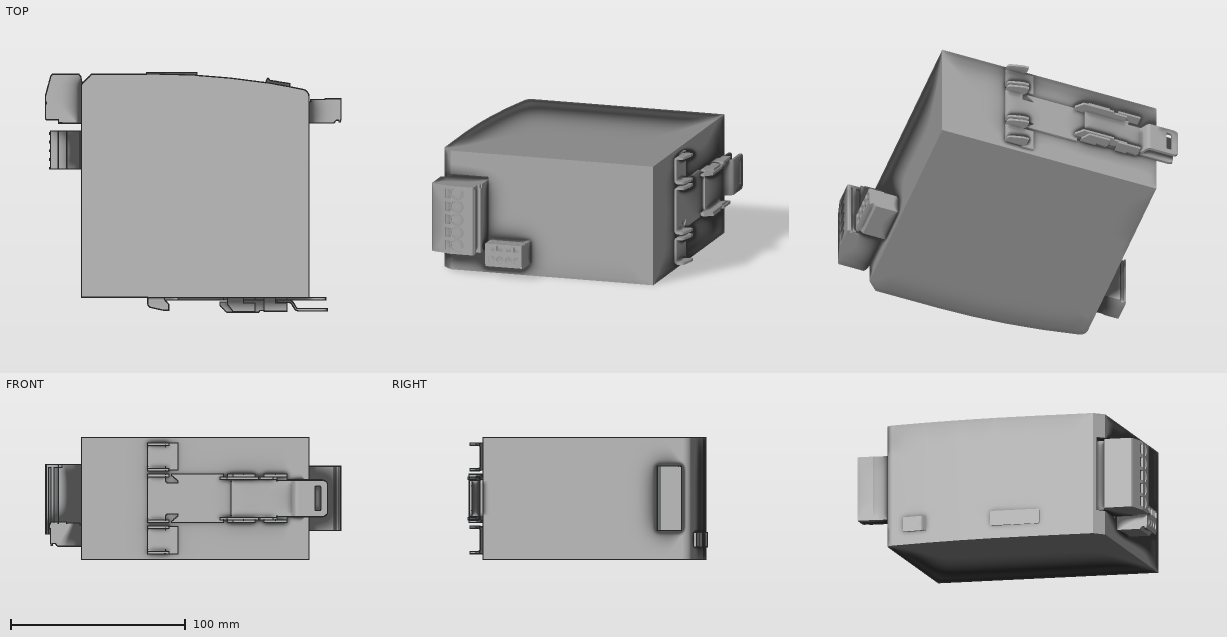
import cadquery as cq
import math


OVERALL_LENGTH = 169.32
OVERALL_DEPTH = 137.4

HOUSING_LENGTH = 130.4
HOUSING_DEPTH = 127.8
HOUSING_HEIGHT = 70.0
MID_HEIGHT = HOUSING_HEIGHT / 2
CORNER_CHAMFER = 5.8
CROWN_START_X = 43.0
CROWN_RADIUS = 410.0
CROWN_CORNER_RADIUS = 4.5
OVERLAP = 0.5

POWER_POLES = 5
POWER_PITCH = 7.62
POWER_REACH = 20.6
POWER_HEIGHT = 40.0
POWER_BOTTOM = 14.5
POWER_FRONT_Y = HOUSING_DEPTH
POWER_REAR_Y = 99.6
POWER_STEP_X = -13.2
POWER_STEP_Y = 101.6
POWER_SLOPE_START_Y = 115.4
POWER_HOLE_DIAMETER = 7.5
POWER_HOLE_Y = 111.2
POWER_HOLE_DEPTH = 0.6
POWER_SLOT_HEIGHT = 5.5
POWER_SLOT_LENGTH = 3.5
POWER_SLOT_DEPTH = 1.3
POWER_SLOT_DROP = 0.4
POWER_END_PLATE = 1.9
POWER_GROOVE_DEPTH = 1.3
POWER_GROOVES = ((-18.7, -17.5), (-15.6, POWER_STEP_X))
POWER_LIP_CHAMFER = (0.6, 0.7)
POWER_KEY_LENGTH = 2.2
POWER_KEY_DEPTH = 0.6

OPENING_FRONT_Y = 126.0
OPENING_REAR_Y = 99.2
OPENING_HEIGHT = 42.6
OPENING_DEPTH = 5.0

PLUG_REACH = 17.7
PLUG_THICKNESS = 14.0
PLUG_PITCH = 5.0
PLUG_SIDE = 1.0
SIGNAL_POLES = 4
SIGNAL_BOTTOM = 7.5
SIGNAL_REAR_Y = 73.4
SIGNAL_POLE_SIDE = 0.5
SIGNAL_HOLE_DIAMETER = 4.2
SIGNAL_HOLE_HEIGHT = 5.0
SIGNAL_HOLE_DEPTH = 0.5
SIGNAL_SLOT_WIDTH = 3.0
SIGNAL_SLOT_BOTTOM = 10.0
SIGNAL_SLOT_HEIGHT = 3.0
SIGNAL_SLOT_DEPTH = 0.5
SIGNAL_RIB_WIDTH = 1.0
SIGNAL_RIB_REACH = 0.4
SIGNAL_GROOVES = (8.2, 13.0)
SIGNAL_GROOVE_WIDTH = 0.4
SIDE_POLES = 7
SIDE_REAR_Y = 99.8
SIDE_REACH = OVERALL_LENGTH - POWER_REACH - HOUSING_LENGTH

SHEET = 1.5
BEND_INNER_RADIUS = 1.0
BEND_OUTER_RADIUS = SHEET + BEND_INNER_RADIUS
HOOK_START_X = 38.0
HOOK_BEND_END_X = 48.2
HOOK_TIP_X = 50.1
HOOK_DEPTH = 7.4
SIDE_BRACKET_WIDTH = 16.1
SIDE_BRACKET_OFFSET = 23.75
SIDE_BRACKET_END_X = 55.2
BASE_WIDTH = 27.8
BASE_END_X = 140.0
BASE_TAIL_START_X = 117.8
TAIL_WIDTH = 21.4
GUIDE_DEPTH = 8.0
FRONT_GUIDE_X = (83.6, 99.3)
BACK_GUIDE_X = (104.6, 117.8)
GUIDE_NOTCH_START_X = 81.5
GUIDE_RELIEF_LENGTH = 6.6
GUIDE_RELIEF_DEPTH = 3.2
GUIDE_RAMP_TOP_Y = -3.8
GUIDE_RAMP_LENGTH = 3.2

LATCH_WIDTH = 24.6
LATCH_TAIL_WIDTH = 20.8
LATCH_START_X = 85.8
LATCH_FLANGE_START_X = 79.3
LATCH_FLANGE_END_X = 109.7
LATCH_FLANGE_TOP_Y = -2.5
LATCH_FLANGE_DEPTH = 8.6
LATCH_FLANGE_BACK_DEPTH = 7.5
LATCH_BODY_END_X = 112.0
LATCH_END_X = 140.9
LATCH_JOG_X = (119.9, 123.4)
LATCH_JOG_SKEW = 0.6
LATCH_JOG_INNER_RADIUS = 1.5
LATCH_JOG_OUTER_RADIUS = LATCH_JOG_INNER_RADIUS + SHEET
LATCH_OFFSET = 6.3
LATCH_CORNER_RADIUS = 2.5
LATCH_SLOT_X = 135.4
LATCH_SLOT_WIDTH = 3.4
LATCH_SLOT_LENGTH = 14.0
LATCH_SLOT_RADIUS = 0.8

BAR_X = (37.4, 66.3)
BAR_Z = (7.2, 15.6)
BAR_TOP_Y = OVERALL_DEPTH - LATCH_FLANGE_DEPTH
BAR_CORNER_RADIUS = 1.0
INDICATOR_START_X = 105.6
INDICATOR_LENGTH = 13.8
INDICATOR_RISE = 1.3
INDICATOR_END_RISE = 1.8
INDICATOR_RIDGE = 2.6
INDICATOR_RIDGE_WIDTH = 2.4


def box(x, y, z):
    """Box from (low, high) pairs along each axis."""
    size = [high - low for low, high in (x, y, z)]
    return cq.Workplane("XY").box(*size, centered=False).translate((x[0], y[0], z[0]))


def prism_z(points, bottom, top):
    """Closed XY outline raised from one height to another."""
    return cq.Workplane("XY").workplane(offset=bottom).polyline(points).close().extrude(top - bottom)


def mirror_z(shape):
    """Copy mirrored about the mid-height plane of the housing."""
    return shape.mirror("XY", (0, 0, MID_HEIGHT))


def crown_y(x):
    """Y of the curved front wall at a given X."""
    run = x - CROWN_START_X
    return HOUSING_DEPTH - CROWN_RADIUS + math.sqrt(CROWN_RADIUS**2 - run**2)


def make_housing():
    crown_mid_x = (CROWN_START_X + HOUSING_LENGTH) / 2
    housing = (
        cq.Workplane("XY")
        .moveTo(0, 0)
        .lineTo(HOUSING_LENGTH, 0)
        .lineTo(HOUSING_LENGTH, crown_y(HOUSING_LENGTH))
        .threePointArc((crown_mid_x, crown_y(crown_mid_x)), (CROWN_START_X, HOUSING_DEPTH))
        .lineTo(CORNER_CHAMFER, HOUSING_DEPTH)
        .lineTo(0, HOUSING_DEPTH - CORNER_CHAMFER)
        .close()
        .extrude(HOUSING_HEIGHT)
    )
    housing = housing.edges("|Z").edges(">X").edges(">Y").fillet(CROWN_CORNER_RADIUS)
    opening = box(
        (-OVERLAP, OPENING_DEPTH),
        (OPENING_REAR_Y, OPENING_FRONT_Y),
        (MID_HEIGHT - OPENING_HEIGHT / 2, MID_HEIGHT + OPENING_HEIGHT / 2),
    )
    return housing.cut(opening)


def make_power_connector():
    top = POWER_BOTTOM + POWER_HEIGHT
    outline = [
        (OPENING_DEPTH + OVERLAP, POWER_REAR_Y),
        (POWER_STEP_X, POWER_REAR_Y),
        (POWER_STEP_X, POWER_STEP_Y),
        (-POWER_REACH + POWER_LIP_CHAMFER[0], POWER_STEP_Y),
        (-POWER_REACH, POWER_STEP_Y + POWER_LIP_CHAMFER[1]),
        (-POWER_REACH, POWER_SLOPE_START_Y),
        (-17.5, POWER_FRONT_Y - 1.0),
        (-16.6, POWER_FRONT_Y),
        (-1.4, POWER_FRONT_Y),
        (-0.3, POWER_FRONT_Y - 1.4),
        (0.6, HOUSING_DEPTH - CORNER_CHAMFER),
        (OPENING_DEPTH + OVERLAP, HOUSING_DEPTH - CORNER_CHAMFER),
    ]
    connector = prism_z(outline, POWER_BOTTOM, top)
    for groove_x in POWER_GROOVES:
        groove_y = (POWER_STEP_Y - OVERLAP, POWER_STEP_Y + POWER_GROOVE_DEPTH)
        connector = connector.cut(box(groove_x, groove_y, (POWER_BOTTOM, top - POWER_END_PLATE)))
    key_x = (POWER_STEP_X, POWER_STEP_X + POWER_KEY_LENGTH)
    key_y = (POWER_REAR_Y, POWER_REAR_Y + POWER_KEY_DEPTH)
    connector = connector.cut(box(key_x, key_y, (top - POWER_END_PLATE, top)))
    for pole in range(POWER_POLES):
        z = MID_HEIGHT + (pole - (POWER_POLES - 1) / 2) * POWER_PITCH
        hole = (
            cq.Workplane("YZ", origin=(-POWER_REACH, POWER_HOLE_Y, z))
            .circle(POWER_HOLE_DIAMETER / 2)
            .extrude(POWER_HOLE_DEPTH)
        )
        slot_z = z - POWER_SLOT_DROP
        slot = box(
            (-POWER_REACH, -POWER_REACH + POWER_SLOT_DEPTH),
            (POWER_SLOPE_START_Y, POWER_SLOPE_START_Y + POWER_SLOT_LENGTH),
            (slot_z - POWER_SLOT_HEIGHT / 2, slot_z + POWER_SLOT_HEIGHT / 2),
        )
        connector = connector.cut(hole).cut(slot)
    return connector


def plug_outline(reach):
    """Plug cross-section as (distance from the wall, height) points."""
    return [
        (-OVERLAP, 0),
        (reach - 4.2, 0),
        (reach - 2.8, 1.6),
        (reach - 1.3, 1.6),
        (reach - 1.3, 0.6),
        (reach - 0.3, 0.6),
        (reach - 0.3, 1.7),
        (reach, 1.7),
        (reach, PLUG_THICKNESS),
        (reach - 9.2, PLUG_THICKNESS),
        (reach - 9.2, PLUG_THICKNESS - 0.5),
        (0.8, PLUG_THICKNESS - 0.5),
        (0.8, PLUG_THICKNESS - 1.8),
        (-OVERLAP, PLUG_THICKNESS - 1.8),
    ]


def plug_width(poles):
    return poles * PLUG_PITCH + 2 * PLUG_SIDE


def make_signal_plug():
    width = plug_width(SIGNAL_POLES)
    front_y = SIGNAL_REAR_Y + width
    outline = [(-out, SIGNAL_BOTTOM + up) for out, up in plug_outline(PLUG_REACH)]
    plug = cq.Workplane("XZ", origin=(0, front_y, 0)).polyline(outline).close().extrude(width)
    slot_z = (SIGNAL_BOTTOM + SIGNAL_SLOT_BOTTOM, SIGNAL_BOTTOM + SIGNAL_SLOT_BOTTOM + SIGNAL_SLOT_HEIGHT)
    plug_top = SIGNAL_BOTTOM + PLUG_THICKNESS
    for out in SIGNAL_GROOVES:
        groove_z = (plug_top - 2 * SIGNAL_GROOVE_WIDTH, plug_top)
        plug = plug.cut(box((-out - SIGNAL_GROOVE_WIDTH, -out), (SIGNAL_REAR_Y, front_y), groove_z))
    for pole in range(SIGNAL_POLES):
        y = SIGNAL_REAR_Y + SIGNAL_POLE_SIDE + (pole + 0.5) * PLUG_PITCH
        hole = (
            cq.Workplane("YZ", origin=(-PLUG_REACH, y, SIGNAL_BOTTOM + SIGNAL_HOLE_HEIGHT))
            .circle(SIGNAL_HOLE_DIAMETER / 2)
            .extrude(SIGNAL_HOLE_DEPTH)
        )
        slot_y = (y - SIGNAL_SLOT_WIDTH / 2, y + SIGNAL_SLOT_WIDTH / 2)
        plug = plug.cut(hole).cut(box((-PLUG_REACH, -PLUG_REACH + SIGNAL_SLOT_DEPTH), slot_y, slot_z))
    for rib in range(SIGNAL_POLES + 1):
        y = SIGNAL_REAR_Y + SIGNAL_POLE_SIDE + rib * PLUG_PITCH
        rib_y = (y - SIGNAL_RIB_WIDTH / 2, y + SIGNAL_RIB_WIDTH / 2)
        plug = plug.union(box((-PLUG_REACH - SIGNAL_RIB_REACH, -PLUG_REACH + OVERLAP), rib_y, slot_z))
    return plug


def make_side_plug():
    half_width = plug_width(SIDE_POLES) / 2
    outline = [(HOUSING_LENGTH + out, SIDE_REAR_Y + up) for out, up in plug_outline(SIDE_REACH)]
    return prism_z(outline, MID_HEIGHT - half_width, MID_HEIGHT + half_width)


def channel(x, width, depth, center_z, base_y=0.0):
    """U-shaped sheet channel opening toward -Y, with rounded bends."""
    half = width / 2
    outer = box(x, (base_y - depth, base_y), (center_z - half, center_z + half))
    outer = outer.edges("|X and >Y").fillet(BEND_OUTER_RADIUS)
    inner_half = half - SHEET
    inner = box(x, (base_y - depth, base_y - SHEET), (center_z - inner_half, center_z + inner_half))
    inner = inner.edges("|X and >Y").fillet(BEND_INNER_RADIUS)
    return outer.cut(inner)


def hook_channel(width, center_z):
    """Channel whose two flanges are shaped as rail hooks."""
    hooks = channel((HOOK_START_X, HOOK_TIP_X), width, HOOK_DEPTH, center_z)
    profile = (
        cq.Workplane("XY")
        .workplane(offset=center_z - width / 2)
        .moveTo(HOOK_START_X, 0)
        .lineTo(HOOK_START_X, -3.8)
        .threePointArc((HOOK_START_X + 0.6, -5.1), (HOOK_START_X + 1.8, -5.8))
        .lineTo(HOOK_TIP_X - 3.2, -HOOK_DEPTH)
        .lineTo(HOOK_TIP_X, -HOOK_DEPTH)
        .lineTo(HOOK_TIP_X, -4.0)
        .lineTo(HOOK_BEND_END_X, -1.9)
        .lineTo(HOOK_BEND_END_X, 0)
        .close()
        .extrude(width)
    )
    return hooks.intersect(profile)


def make_side_bracket():
    center_z = MID_HEIGHT + SIDE_BRACKET_OFFSET
    half = SIDE_BRACKET_WIDTH / 2
    web_x = (HOOK_BEND_END_X - OVERLAP, SIDE_BRACKET_END_X)
    web = box(web_x, (-SHEET, 0), (center_z - half + OVERLAP, center_z + half))
    web_start = box(
        (HOOK_START_X, HOOK_BEND_END_X),
        (-SHEET, 0),
        (center_z - half + BEND_OUTER_RADIUS, center_z + half - BEND_OUTER_RADIUS),
    )
    return hook_channel(SIDE_BRACKET_WIDTH, center_z).union(web_start).union(web)


def make_base_bracket():
    half = BASE_WIDTH / 2
    tail_half = TAIL_WIDTH / 2
    center_z = (MID_HEIGHT - half, MID_HEIGHT + half)
    web = box((HOOK_BEND_END_X, GUIDE_NOTCH_START_X), (-SHEET, 0), center_z)
    spine_half = half - BEND_OUTER_RADIUS
    spine_z = (MID_HEIGHT - spine_half, MID_HEIGHT + spine_half)
    web = web.union(box((HOOK_START_X, BASE_TAIL_START_X), (-SHEET, 0), spine_z))
    tail_z = (MID_HEIGHT - tail_half, MID_HEIGHT + tail_half)
    tail = box((BASE_TAIL_START_X - OVERLAP, BASE_END_X), (-SHEET, 0), tail_z)
    tail = tail.edges("|Y and >X").fillet(LATCH_CORNER_RADIUS)
    relief_points = [
        (HOOK_BEND_END_X, half),
        (HOOK_BEND_END_X, half - 4.0),
        (HOOK_BEND_END_X + 0.9, half - 5.0),
        (SIDE_BRACKET_END_X, half - 5.0),
        (SIDE_BRACKET_END_X, half - 3.8),
        (HOOK_TIP_X + 1.4, half - 0.6),
        (HOOK_TIP_X + 1.4, half),
    ]
    relief = cq.Workplane("XZ", origin=(0, 0, MID_HEIGHT)).polyline(relief_points).close().extrude(SHEET)
    web = web.cut(relief).cut(mirror_z(relief))
    bracket = web.union(hook_channel(BASE_WIDTH, MID_HEIGHT)).union(tail)
    inner_z = (center_z[0] + SHEET, center_z[1] - SHEET)
    for guide_x in (FRONT_GUIDE_X, BACK_GUIDE_X):
        guide = channel(guide_x, BASE_WIDTH, GUIDE_DEPTH, MID_HEIGHT)
        relief_x = (guide_x[1] - GUIDE_RELIEF_LENGTH, guide_x[1])
        guide = guide.cut(box(relief_x, (-GUIDE_RELIEF_DEPTH, 0), center_z))
        bracket = bracket.union(guide).union(box(relief_x, (-SHEET, 0), inner_z))
    ramp = prism_z(
        [
            (FRONT_GUIDE_X[0], GUIDE_RAMP_TOP_Y),
            (FRONT_GUIDE_X[0], -GUIDE_DEPTH),
            (FRONT_GUIDE_X[0] + GUIDE_RAMP_LENGTH, -GUIDE_DEPTH),
        ],
        *center_z,
    )
    return bracket.cut(ramp)


def make_latch():
    top_y = -SHEET
    half = LATCH_WIDTH / 2
    flange_z = (MID_HEIGHT - half, MID_HEIGHT + half)
    rails = channel(
        (LATCH_FLANGE_START_X, LATCH_BODY_END_X), LATCH_WIDTH, LATCH_FLANGE_DEPTH + top_y, MID_HEIGHT, top_y
    )
    rail_outline = [
        (LATCH_START_X, top_y),
        (LATCH_START_X, LATCH_FLANGE_TOP_Y),
        (LATCH_FLANGE_START_X, LATCH_FLANGE_TOP_Y),
        (LATCH_FLANGE_START_X, -4.6),
        (LATCH_FLANGE_START_X + 4.0, -LATCH_FLANGE_DEPTH),
        (101.4, -LATCH_FLANGE_DEPTH),
        (102.2, -LATCH_FLANGE_BACK_DEPTH),
        (LATCH_FLANGE_END_X, -LATCH_FLANGE_BACK_DEPTH),
        (LATCH_FLANGE_END_X, -4.0),
        (LATCH_BODY_END_X, -4.0),
        (LATCH_BODY_END_X, top_y),
    ]
    rails = rails.intersect(prism_z(rail_outline, *flange_z))
    web_half = half - SHEET
    rails = rails.cut(
        box(
            (LATCH_FLANGE_START_X, LATCH_START_X),
            (-LATCH_FLANGE_DEPTH, top_y),
            (MID_HEIGHT - web_half, MID_HEIGHT + web_half),
        )
    )
    inner_bends = [(LATCH_JOG_X[0], top_y - SHEET), (LATCH_JOG_X[1], -LATCH_OFFSET)]
    outer_bends = [
        (LATCH_JOG_X[0] + LATCH_JOG_SKEW, top_y),
        (LATCH_JOG_X[1] - LATCH_JOG_SKEW, -LATCH_OFFSET - SHEET),
    ]
    handle_outline = [
        (LATCH_FLANGE_END_X, top_y),
        outer_bends[0],
        inner_bends[1],
        (LATCH_END_X, -LATCH_OFFSET),
        (LATCH_END_X, -LATCH_OFFSET - SHEET),
        outer_bends[1],
        inner_bends[0],
        (LATCH_FLANGE_END_X, top_y - SHEET),
    ]
    handle_half = LATCH_TAIL_WIDTH / 2
    handle = prism_z(handle_outline, MID_HEIGHT - handle_half, MID_HEIGHT + handle_half)
    handle = handle.edges("|Y and >X").fillet(LATCH_CORNER_RADIUS)
    for bends, radius in ((inner_bends, LATCH_JOG_INNER_RADIUS), (outer_bends, LATCH_JOG_OUTER_RADIUS)):
        for x, y in bends:
            edge = cq.selectors.NearestToPointSelector((x, y, MID_HEIGHT))
            handle = handle.edges("|Z").edges(edge).fillet(radius)
    slot = (
        cq.Workplane("XZ", origin=(LATCH_SLOT_X, 0, MID_HEIGHT))
        .workplane(offset=LATCH_OFFSET)
        .rect(LATCH_SLOT_WIDTH, LATCH_SLOT_LENGTH)
        .extrude(SHEET)
        .edges("|Y")
        .fillet(LATCH_SLOT_RADIUS)
    )
    return rails.union(handle.cut(slot))


def make_label_bar():
    bar = box(BAR_X, (crown_y(BAR_X[1]) - OVERLAP, BAR_TOP_Y), BAR_Z)
    return bar.edges("|Y").fillet(BAR_CORNER_RADIUS)


def make_indicator():
    """Low strip with a pointed ridge, lying on the sloping end of the front wall."""
    end_x = INDICATOR_START_X + INDICATOR_LENGTH
    start_y = crown_y(INDICATOR_START_X)
    end_y = crown_y(end_x)
    outline = [
        (INDICATOR_START_X, start_y - OVERLAP),
        (INDICATOR_START_X, start_y + INDICATOR_RISE / 2),
        (INDICATOR_START_X + INDICATOR_RIDGE_WIDTH / 2, start_y + INDICATOR_RIDGE),
        (INDICATOR_START_X + INDICATOR_RIDGE_WIDTH, start_y + INDICATOR_RISE),
        (end_x, end_y + INDICATOR_END_RISE),
        (end_x, end_y - OVERLAP),
    ]
    return prism_z(outline, *BAR_Z)


side_bracket = make_side_bracket()
result = (
    make_housing()
    .union(make_power_connector())
    .union(make_signal_plug())
    .union(make_side_plug())
    .union(side_bracket)
    .union(mirror_z(side_bracket))
    .union(make_base_bracket())
    .union(make_latch())
    .union(make_label_bar())
    .union(make_indicator())
)